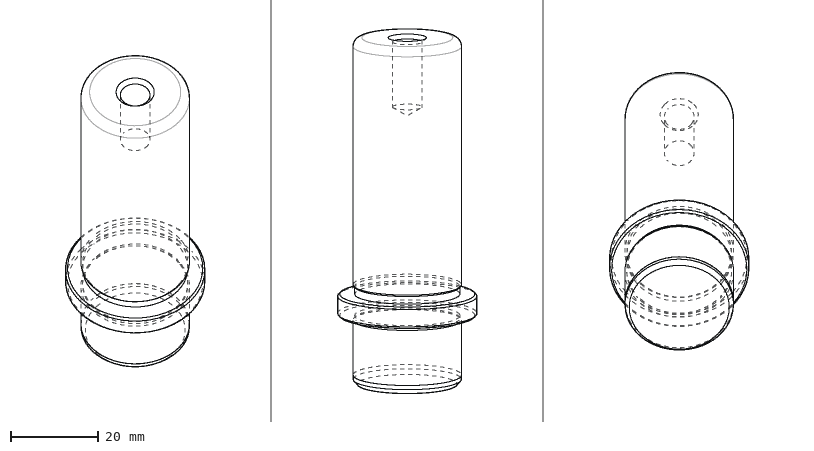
import cadquery as cq
import math

total_height = 81.0
body_radius = 12.5
flange_radius = 16.0
flange_bottom = 16.0
flange_thickness = 5.0
flange_top = flange_bottom + flange_thickness
flange_chamfer = 0.5

top_fillet = 2.0
end_chamfer_width = 1.0
end_chamfer_height = 1.1

lead_step = 0.025
lead_radius = body_radius - lead_step
lead_top = 2.1

groove_radius = 12.1
upper_groove_height = 1.8
lower_groove_height = 0.65
groove_lead = body_radius - groove_radius

hole_radius = 3.4
mouth_radius = 4.4
hole_depth = 16.2
drill_point_angle = 118.0


def turned_body():
    """Revolve the stepped outer profile about the Z axis."""
    upper_groove_top = flange_top + upper_groove_height
    lower_groove_bottom = flange_bottom - lower_groove_height
    arc_inset = top_fillet * (1 - math.sqrt(0.5))
    profile = (
        cq.Workplane("XZ")
        .lineTo(lead_radius - end_chamfer_width, 0)
        .lineTo(lead_radius, end_chamfer_height)
        .lineTo(lead_radius, lead_top)
        .lineTo(body_radius, lead_top)
        .lineTo(body_radius, lower_groove_bottom - groove_lead)
        .lineTo(groove_radius, lower_groove_bottom)
        .lineTo(groove_radius, flange_bottom)
        .lineTo(flange_radius - flange_chamfer, flange_bottom)
        .lineTo(flange_radius, flange_bottom + flange_chamfer)
        .lineTo(flange_radius, flange_top - flange_chamfer)
        .lineTo(flange_radius - flange_chamfer, flange_top)
        .lineTo(groove_radius, flange_top)
        .lineTo(groove_radius, upper_groove_top)
        .lineTo(body_radius, upper_groove_top + groove_lead)
        .lineTo(body_radius, total_height - top_fillet)
        .threePointArc(
            (body_radius - arc_inset, total_height - arc_inset),
            (body_radius - top_fillet, total_height),
        )
        .lineTo(0, total_height)
        .close()
    )
    return profile.revolve(360, (0, 0, 0), (0, 1, 0))


def blind_hole():
    """Revolve the hole's half section: 45 degree mouth, straight bore, conical end."""
    bore_bottom = total_height - hole_depth
    mouth_bottom = total_height - (mouth_radius - hole_radius)
    point_depth = hole_radius / math.tan(math.radians(drill_point_angle / 2))
    profile = (
        cq.Workplane("XZ")
        .moveTo(0, total_height)
        .lineTo(mouth_radius, total_height)
        .lineTo(hole_radius, mouth_bottom)
        .lineTo(hole_radius, bore_bottom)
        .lineTo(0, bore_bottom - point_depth)
        .close()
    )
    return profile.revolve(360, (0, 0, 0), (0, 1, 0))


result = turned_body().cut(blind_hole())